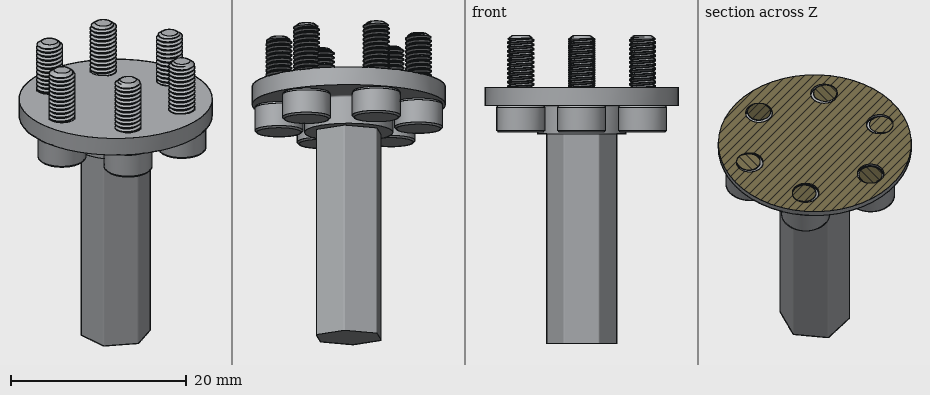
import cadquery as cq
import math

total_height = 35.1

plate_diameter = 22.0
plate_thickness = 2.07
boss_diameter = 10.05
boss_fillet = 0.2
hex_across_flats = 7.0
hex_length = 23.87
hex_corner_radius = 0.2

screw_count = 6
screw_circle_radius = 8.0
first_screw_angle = 30.0
shank_diameter = 3.0
shank_length = 8.0
tip_chamfer_height = 0.42
tip_chamfer_depth = 0.55
head_diameter = 5.48
head_height = 3.02
head_rim = 0.2
head_seat_inset = 0.1

thread_turns = 16
thread_depth = 0.3
thread_angle = 60.0
crest_width = 0.07
spare_turns_per_end = 2
thread_start_angle = 33.0

plate_bottom = total_height - shank_length

shank_radius = shank_diameter / 2
root_radius = shank_radius - thread_depth
thread_pitch = shank_length / thread_turns
flank_height = thread_depth * math.tan(math.radians(thread_angle / 2))


def screw_angles():
    """Directions of the screws around the Z axis."""
    return [first_screw_angle + i * 360 / screw_count for i in range(screw_count)]


def make_driver():
    """Hex shank, boss and plate in one piece, with a hole for each screw."""
    hex_corner_diameter = hex_across_flats / math.cos(math.pi / 6)
    shank = (
        cq.Workplane("XY")
        .polygon(6, hex_corner_diameter)
        .extrude(hex_length)
        .edges("|Z")
        .fillet(hex_corner_radius)
    )
    boss = (
        cq.Workplane("XY", origin=(0, 0, hex_length))
        .circle(boss_diameter / 2)
        .extrude(plate_bottom - hex_length)
    )
    plate = (
        cq.Workplane("XY", origin=(0, 0, plate_bottom))
        .circle(plate_diameter / 2)
        .extrude(plate_thickness)
    )
    boss_root = cq.selectors.RadiusNthSelector(0)
    body = boss.union(plate)
    body = body.faces("<Z[1]").edges(boss_root).fillet(boss_fillet)
    holes = (
        cq.Workplane("XY", origin=(0, 0, plate_bottom))
        .polarArray(screw_circle_radius, first_screw_angle, 360, screw_count)
        .circle(shank_radius)
        .extrude(plate_thickness)
    )
    return body.union(shank).cut(holes)


def helix_turn(radius, z):
    """One turn of the thread helix, starting on the +X side at height z."""
    wire = cq.Wire.makeHelix(thread_pitch, thread_pitch, radius, center=cq.Vector(0, 0, z))
    return wire.Edges()[0]


def tooth_points(z):
    """Corners (radius, height) of one thread tooth, from root to the next root."""
    return [
        (root_radius, z),
        (shank_radius, z + flank_height),
        (shank_radius, z + flank_height + crest_width),
        (root_radius, z + 2 * flank_height + crest_width),
        (root_radius, z + thread_pitch),
    ]


def turn_end_face(z):
    """Flat half section on the +X side that closes one end of the thread."""
    outline = [(0, z), *tooth_points(z), (0, z + thread_pitch)]
    corners = [cq.Vector(radius, 0, height) for radius, height in outline]
    return cq.Face.makeFromWires(cq.Wire.makePolygon(corners, close=True))


def core_end_face(z):
    """Helical ramp from the axis to the thread root that closes the core."""
    axis = cq.Edge.makeLine(cq.Vector(0, 0, z), cq.Vector(0, 0, z + thread_pitch))
    return cq.Face.makeRuledSurface(axis, helix_turn(root_radius, z))


def make_thread():
    """Helical threaded rod that overshoots the shank at both ends."""
    first_z = -spare_turns_per_end * thread_pitch
    built_turns = thread_turns + 2 * spare_turns_per_end
    faces = []
    for turn in range(built_turns):
        corners = tooth_points(first_z + turn * thread_pitch)
        for lower, upper in zip(corners, corners[1:]):
            faces.append(cq.Face.makeRuledSurface(helix_turn(*lower), helix_turn(*upper)))
    for z in (first_z, first_z + built_turns * thread_pitch):
        faces.append(turn_end_face(z))
        faces.append(core_end_face(z))
    return cq.Solid.makeSolid(cq.Shell.makeShell(faces))


def make_threaded_shank():
    """Thread trimmed flat under the head and to a cone at the tip."""
    tip_radius = shank_radius - tip_chamfer_depth
    cone_growth = shank_length * tip_chamfer_depth / tip_chamfer_height
    trim = (
        cq.Workplane("XZ")
        .lineTo(tip_radius + cone_growth, 0)
        .lineTo(tip_radius, shank_length)
        .lineTo(0, shank_length)
        .close()
        .revolve(360, (0, 0, 0), (0, 1, 0))
    )
    thread = cq.Workplane("XY").add(make_thread())
    return thread.intersect(trim).rotate((0, 0, 0), (0, 0, 1), thread_start_angle)


def make_screw():
    """One screw on the Z axis, with the seating face of its head at Z = 0."""
    head_radius = head_diameter / 2
    head = (
        cq.Workplane("XZ")
        .moveTo(0, -head_height)
        .lineTo(head_radius - head_rim, -head_height)
        .lineTo(head_radius, -head_height + head_rim)
        .lineTo(head_radius, -head_rim)
        .lineTo(head_radius - head_seat_inset, 0)
        .lineTo(0, 0)
        .close()
        .revolve(360, (0, 0, 0), (0, 1, 0))
    )
    return head.union(make_threaded_shank())


driver = make_driver().solids().val()
screw = make_screw().solids().val().translate(cq.Vector(screw_circle_radius, 0, plate_bottom))
screws = [screw.rotate(cq.Vector(0, 0, 0), cq.Vector(0, 0, 1), angle) for angle in screw_angles()]

result = cq.Compound.makeCompound([driver, *screws])